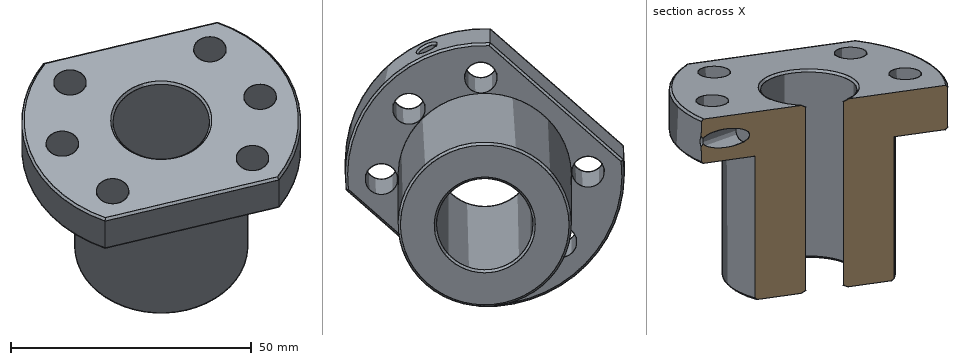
import cadquery as cq
import math

flange_diameter = 58.0
flange_width = 44.0
flange_thickness = 10.0
barrel_diameter = 36.0
total_height = 42.0
bore_diameter = 20.0
edge_chamfer = 0.5

bolt_hole_diameter = 6.7
bolt_circle_diameter = 43.0
bolt_spacing_angle = 45.0
bolt_group_angles = (90.0, 270.0)

oil_hole_diameter = 4.0
oil_hole_depth = 10.0
oil_hole_angle = 90.0 + bolt_spacing_angle / 2


def polar_point(radius, angle):
    """Return the X, Y position at a radius and an angle in degrees from +X."""
    turn = math.radians(angle)
    return radius * math.cos(turn), radius * math.sin(turn)


def make_flange():
    """Round flange with two flats facing -X and +X, chamfered on both rims."""
    disc = cq.Workplane("XY").circle(flange_diameter / 2).extrude(-flange_thickness)
    between_flats = cq.Workplane("XY").rect(flange_width, flange_diameter).extrude(-flange_thickness)
    return disc.intersect(between_flats).faces("<Z or >Z").chamfer(edge_chamfer)


def make_barrel():
    """Cylindrical body reaching down from the flange, chamfered at its lower end."""
    barrel = cq.Workplane("XY").workplane(offset=-total_height).circle(barrel_diameter / 2)
    return barrel.extrude(total_height - flange_thickness / 2).faces("<Z").chamfer(edge_chamfer)


def make_bore():
    """Through bore that widens into a chamfer at both ends."""
    radius = bore_diameter / 2
    mouth_radius = radius + edge_chamfer
    profile = [
        (0, 0),
        (mouth_radius, 0),
        (radius, -edge_chamfer),
        (radius, edge_chamfer - total_height),
        (mouth_radius, -total_height),
        (0, -total_height),
    ]
    return cq.Workplane("XZ").polyline(profile).close().revolve(360, (0, 0), (0, 1))


def make_bolt_holes():
    """Through holes of the bolt pattern."""
    centres = [
        polar_point(bolt_circle_diameter / 2, group_angle + step * bolt_spacing_angle)
        for group_angle in bolt_group_angles
        for step in (-1, 0, 1)
    ]
    holes = cq.Workplane("XY").pushPoints(centres).circle(bolt_hole_diameter / 2)
    return holes.extrude(-flange_thickness)


def make_oil_hole():
    """Blind radial hole in the flange rim, countersunk at the rim."""
    radius = oil_hole_diameter / 2
    mouth_radius = radius + edge_chamfer
    rim = flange_diameter / 2
    floor = rim - oil_hole_depth
    profile = [
        (floor, 0),
        (floor, radius),
        (rim - edge_chamfer, radius),
        (rim, mouth_radius),
        (rim + edge_chamfer, mouth_radius),
        (rim + edge_chamfer, 0),
    ]
    cutter = cq.Workplane("XY").polyline(profile).close().revolve(360, (0, 0), (1, 0))
    turned = cutter.rotate((0, 0, 0), (0, 0, 1), oil_hole_angle)
    return turned.translate((0, 0, -flange_thickness / 2))


result = (
    make_flange()
    .union(make_barrel())
    .cut(make_bore())
    .cut(make_bolt_holes())
    .cut(make_oil_hole())
)